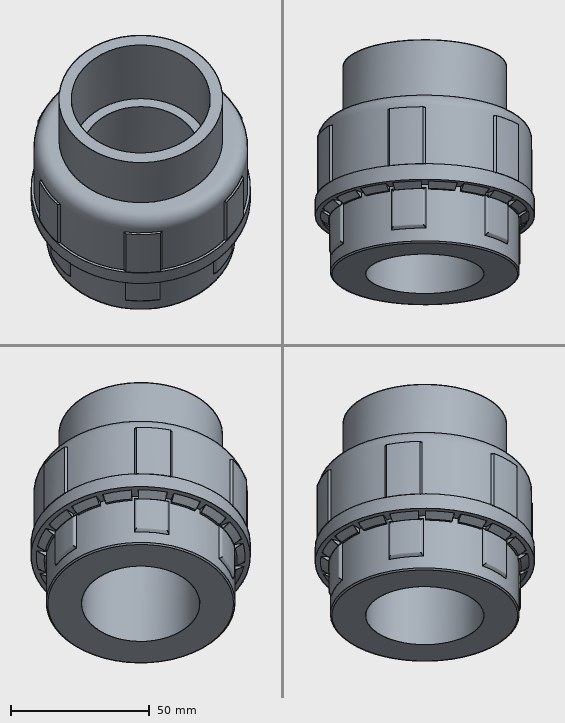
import cadquery as cq
import math

total_height = 79.0

neck_diameter = 59.0
socket_diameter = 50.0
socket_depth = 30.7
bore_diameter = 42.6

nut_diameter = 77.0
nut_top = 56.1
nut_fillet = 5.0
flange_diameter = 79.0
flange_bottom = 22.1
flange_height = 6.0
flange_top = flange_bottom + flange_height

grip_count = 6
first_grip_angle = 30.0
rib_top = 49.9
rib_diameter = 78.7
rib_width = 13.6
rib_side_draft = 33.0
rib_end_draft = 0.0
pad_bottom = 5.45
pad_top = 21.0
pad_diameter = 69.8
pad_width = 12.6
pad_side_draft = 30.0
pad_end_draft = 45.0
pad_fillet = 0.6

body_diameter = 68.0
body_chamfer = 0.55

teeth_bottom = 20.3
teeth_top_diameter = 75.2
teeth_bottom_diameter = 69.5
tooth_count = 18
tooth_gap_width = 2.45
first_gap_angle = 0.0


def cylinder(diameter, bottom, top):
    return cq.Workplane("XY").workplane(offset=bottom).circle(diameter / 2).extrude(top - bottom)


def around_axis(shape, count, first_angle):
    """Union of equally spaced copies of a shape that points along +X."""
    pitch = 360.0 / count
    copies = cq.Workplane("XY")
    for index in range(count):
        copies = copies.add(shape.rotate((0, 0, 0), (0, 0, 1), first_angle + index * pitch))
    return copies.combine()


def raised_block(base_diameter, face_diameter, width, bottom, top, side_draft, end_draft):
    """Block pointing along +X, standing on a cylinder, with a face concentric with it.

    The width, bottom and top are measured where the block meets the base cylinder.
    """
    base_radius = base_diameter / 2
    face_radius = face_diameter / 2
    half_width = width / 2
    start = math.sqrt(base_radius**2 - half_width**2)
    face_half_width = half_width - (face_radius - start) * math.tan(math.radians(side_draft))
    end_slope = (face_radius - base_radius) * math.tan(math.radians(end_draft))
    wedge = (
        cq.Workplane("XY")
        .workplane(offset=bottom)
        .polyline(
            [
                (start, -half_width),
                (face_radius, -face_half_width),
                (face_radius, face_half_width),
                (start, half_width),
            ]
        )
        .close()
        .extrude(top - bottom)
    )
    disc = (
        cq.Workplane("XZ")
        .polyline(
            [
                (0, bottom),
                (base_radius, bottom),
                (face_radius, bottom + end_slope),
                (face_radius, top - end_slope),
                (base_radius, top),
                (0, top),
            ]
        )
        .close()
        .revolve(360, (0, 0, 0), (0, 1, 0))
    )
    return wedge.intersect(disc)


def make_body():
    return cylinder(body_diameter, 0, flange_bottom).faces("<Z").edges().chamfer(body_chamfer)


def make_pads():
    pad = raised_block(
        body_diameter, pad_diameter, pad_width, pad_bottom, pad_top, pad_side_draft, pad_end_draft
    )
    pad = pad.faces(">X").edges().fillet(pad_fillet)
    return around_axis(pad, grip_count, first_grip_angle)


def make_teeth():
    ring = (
        cq.Workplane("XZ")
        .moveTo(0, teeth_bottom)
        .lineTo(teeth_bottom_diameter / 2, teeth_bottom)
        .lineTo(teeth_top_diameter / 2, flange_bottom)
        .lineTo(0, flange_bottom)
        .close()
        .revolve(360, (0, 0, 0), (0, 1, 0))
    )
    gap = (
        cq.Workplane("XY")
        .workplane(offset=teeth_bottom)
        .center(flange_diameter / 4, 0)
        .rect(flange_diameter / 2, tooth_gap_width)
        .extrude(flange_bottom - teeth_bottom)
    )
    return ring.cut(around_axis(gap, tooth_count, first_gap_angle))


def make_nut():
    sleeve = cylinder(nut_diameter, flange_bottom, nut_top).faces(">Z").edges().fillet(nut_fillet)
    rib = raised_block(
        nut_diameter, rib_diameter, rib_width, flange_bottom, rib_top, rib_side_draft, rib_end_draft
    )
    ribs = around_axis(rib, grip_count, first_grip_angle)
    return sleeve.union(cylinder(flange_diameter, flange_bottom, flange_top)).union(ribs)


neck = cylinder(neck_diameter, flange_bottom, total_height)
bore = cylinder(bore_diameter, 0, total_height)
socket = cylinder(socket_diameter, total_height - socket_depth, total_height)

result = make_body().union(make_pads()).union(make_teeth()).union(make_nut()).union(neck)
result = result.cut(bore).cut(socket)